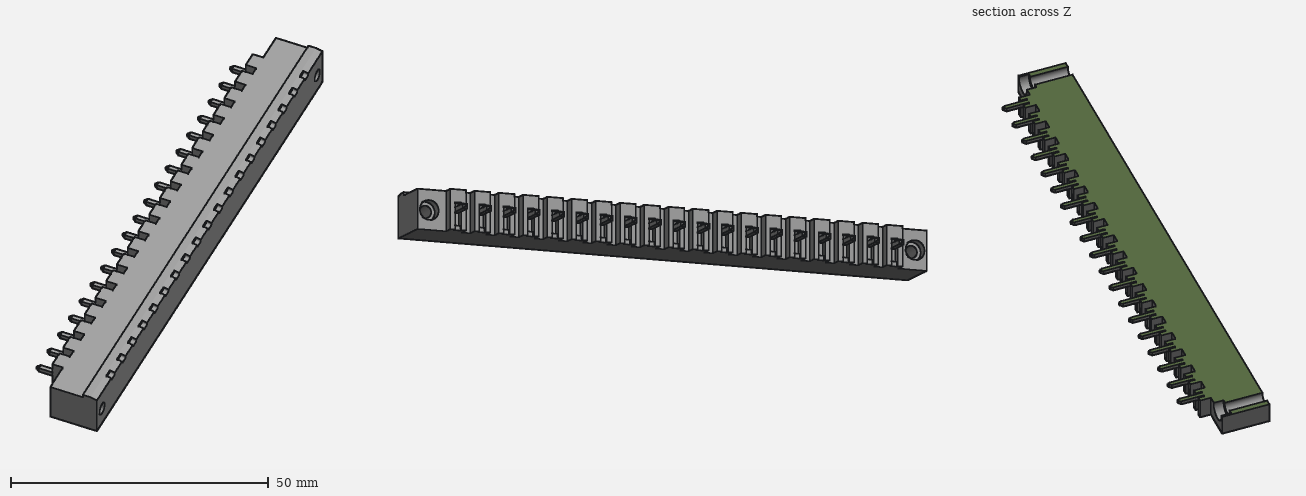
import cadquery as cq

LENGTH = 106.7
OVERALL_X = 16.2
OVERALL_HEIGHT = 8.6

PIN_TIP_X = 0.0
TAB_FACE_X = 4.1
BODY_FACE_X = 6.3
RIDGE_START_X = 13.2
RIDGE_END_X = 14.8
BODY_HEIGHT = 8.0
FRONT_EDGE_HEIGHT = 8.3

POLE_COUNT = 19
PIN_ROW_LENGTH = 91.4
PITCH = PIN_ROW_LENGTH / (POLE_COUNT - 1)
TAB_WIDTH = 3.3

PIN_SIZE = 1.0
PIN_TIP_SIZE = 0.3
PIN_TIP_LENGTH = 0.6
PIN_HEIGHT = 4.1

SLOT_WIDTH = 1.3
SLOT_TOP = 5.4
SLOT_DEPTH = 1.3
SLOT_STEP_HEIGHT = 1.0
SLOT_STEP_DEPTH = 0.6

NOTCH_BACK_X = 15.1
NOTCH_WIDTH = 1.7
NOTCH_DEPTH = 0.5
NOTCH_CORNER_RADIUS = 0.3

HOLE_DIAMETER = 2.5
COUNTERBORE_DIAMETER = 4.0
COUNTERBORE_DEPTH = 2.0
HOLE_END_DISTANCE = 2.5
HOLE_HEIGHT = 4.0

first_pole_y = (LENGTH - PIN_ROW_LENGTH) / 2
pole_positions = [first_pole_y + i * PITCH for i in range(POLE_COUNT)]


def block(x_start, x_end, y_center, width, z_bottom, z_top):
    """Box between two X and two Z positions, centred on y_center."""
    return cq.Workplane("XY").box(x_end - x_start, width, z_top - z_bottom, centered=False).translate(
        (x_start, y_center - width / 2, z_bottom)
    )


def x_cylinder(diameter, x_start, x_end, y, z):
    """Cylinder along X between two X positions, centred on y and z."""
    return (
        cq.Workplane("YZ", origin=(x_start, 0, 0))
        .center(y, z)
        .circle(diameter / 2)
        .extrude(x_end - x_start)
    )


def housing():
    """Long body with a raised ridge and a strip sloping down to the front edge."""
    profile = [
        (BODY_FACE_X, 0),
        (OVERALL_X, 0),
        (OVERALL_X, FRONT_EDGE_HEIGHT),
        (RIDGE_END_X, OVERALL_HEIGHT),
        (RIDGE_START_X, OVERALL_HEIGHT),
        (RIDGE_START_X, BODY_HEIGHT),
        (BODY_FACE_X, BODY_HEIGHT),
    ]
    return cq.Workplane("XZ").polyline(profile).close().extrude(-LENGTH)


def slot(y):
    """Slot open at the bottom, shallower over its lowest stretch."""
    deep = block(TAB_FACE_X, TAB_FACE_X + SLOT_DEPTH, y, SLOT_WIDTH, SLOT_STEP_HEIGHT, SLOT_TOP)
    shallow = block(TAB_FACE_X, TAB_FACE_X + SLOT_STEP_DEPTH, y, SLOT_WIDTH, 0, SLOT_STEP_HEIGHT)
    return deep.union(shallow)


def notch(y):
    """Groove open at the front, its floor parallel to the sloped strip and its lower corners rounded."""
    strip_slope = (OVERALL_HEIGHT - FRONT_EDGE_HEIGHT) / (OVERALL_X - RIDGE_END_X)
    floor_front_z = FRONT_EDGE_HEIGHT - NOTCH_DEPTH
    floor_back_z = floor_front_z + strip_slope * (OVERALL_X - NOTCH_BACK_X)
    side_profile = [
        (NOTCH_BACK_X, OVERALL_HEIGHT),
        (NOTCH_BACK_X, floor_back_z),
        (OVERALL_X, floor_front_z),
        (OVERALL_X, OVERALL_HEIGHT),
    ]
    floor_center = ((NOTCH_BACK_X + OVERALL_X) / 2, y, (floor_back_z + floor_front_z) / 2)
    return (
        cq.Workplane("XZ", origin=(0, y - NOTCH_WIDTH / 2, 0))
        .polyline(side_profile)
        .close()
        .extrude(-NOTCH_WIDTH)
        .faces(cq.NearestToPointSelector(floor_center))
        .edges("not |Y")
        .fillet(NOTCH_CORNER_RADIUS)
    )


def pin(y):
    """Square pin ending in a tapered tip, rooted in the floor of its slot."""
    shoulder_x = PIN_TIP_X + PIN_TIP_LENGTH
    shank = block(
        shoulder_x,
        BODY_FACE_X,
        y,
        PIN_SIZE,
        PIN_HEIGHT - PIN_SIZE / 2,
        PIN_HEIGHT + PIN_SIZE / 2,
    )
    tip = (
        cq.Workplane("YZ", origin=(PIN_TIP_X, y, PIN_HEIGHT))
        .rect(PIN_TIP_SIZE, PIN_TIP_SIZE)
        .workplane(offset=PIN_TIP_LENGTH)
        .rect(PIN_SIZE, PIN_SIZE)
        .loft(ruled=True)
    )
    return shank.union(tip)


def terminal(y):
    """Tab with its slot and pin, standing out from the back of the housing."""
    tab = block(TAB_FACE_X, BODY_FACE_X, y, TAB_WIDTH, 0, BODY_HEIGHT)
    return tab.cut(slot(y)).union(pin(y))


def mounting_hole(y):
    """Through hole with a counterbore from the back of the housing."""
    counterbore_end_x = BODY_FACE_X + COUNTERBORE_DEPTH
    counterbore = x_cylinder(COUNTERBORE_DIAMETER, BODY_FACE_X, counterbore_end_x, y, HOLE_HEIGHT)
    return counterbore.union(x_cylinder(HOLE_DIAMETER, BODY_FACE_X, OVERALL_X, y, HOLE_HEIGHT))


def solids(shapes):
    """Gather workplane shapes into one list of solids for a single boolean step."""
    return [shape.val() for shape in shapes]


cuts = [notch(y) for y in pole_positions]
cuts += [mounting_hole(y) for y in (HOLE_END_DISTANCE, LENGTH - HOLE_END_DISTANCE)]
terminals = [terminal(y) for y in pole_positions]

body = housing().val().cut(*solids(cuts)).fuse(*solids(terminals)).clean()
result = cq.Workplane("XY").newObject(body.Solids())